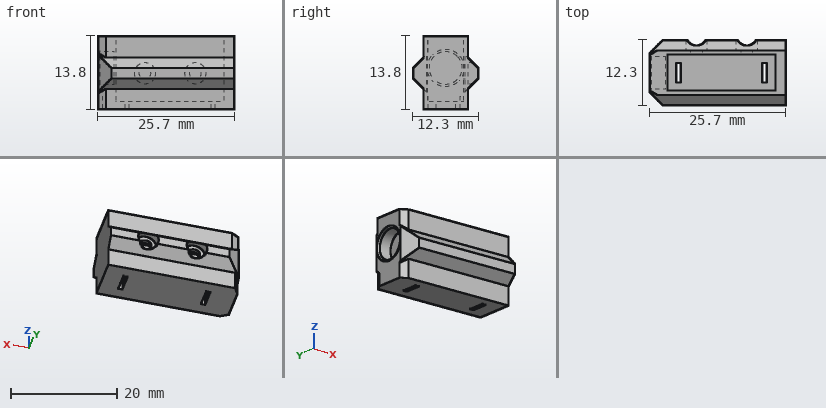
import cadquery as cq

LENGTH = 25.7
RAIL_SPAN = 12.3
HEIGHT = 13.8
BODY_WIDTH = 8.45
NOSE_X = 0.0
OVERRUN = 1.0

RAIL_Z = 6.8
RAIL_TIP_HEIGHT = 2.0
RAIL_NOSE_CHAMFER = 2.5
RAIL_ROOT_HALF_WIDTH = 2.5

CORNER_LONG = 1.5
CORNER_SHORT = 0.87

POCKET_LENGTH = 20.45
POCKET_WIDTH = 6.8
POCKET_START_X = 3.35
POCKET_FLOOR = 1.5
SLOT_THICKNESS = 0.8
SLOT_WIDTH = 3.65
SLOT_SPACING = 16.2
SLOT_COUNT = 2

RECESS_DIAMETER = 6.2
RECESS_DEPTH = 3.0
RECESS_Z = 7.8
RECESS_CHAMFER = 0.4

HOLE_XS = (8.85, 18.35)
HOLE_DIAMETER = 2.2
COUNTERBORE_DIAMETER = 4.0
COUNTERBORE_FLOOR_Y = BODY_WIDTH / 2

POCKET_CENTRE_X = POCKET_START_X + POCKET_LENGTH / 2


def make_body():
    """Upright block with chamfered nose corners; the lower +Y corner is cut deeper across Y."""
    body = cq.Workplane("XY").box(LENGTH, BODY_WIDTH, HEIGHT, centered=(False, True, False))
    cuts = (
        (-1, 0.0, HEIGHT, CORNER_LONG, CORNER_SHORT),
        (1, RAIL_Z, HEIGHT, CORNER_LONG, CORNER_SHORT),
        (1, 0.0, RAIL_Z, CORNER_SHORT, CORNER_LONG),
    )
    for side, bottom, top, along_x, along_y in cuts:
        corner_y = side * BODY_WIDTH / 2
        cutter = (
            cq.Workplane("XY", origin=(NOSE_X, corner_y, bottom))
            .polyline([(0, 0), (along_x, 0), (0, -side * along_y)])
            .close()
            .extrude(top - bottom)
        )
        body = body.cut(cutter)
    return body


def make_rails():
    """Bar with 45-degree bevels above and below each tip, and chamfered at the nose."""
    tip_y = RAIL_SPAN / 2
    tip_half = RAIL_TIP_HEIGHT / 2
    root_y = RAIL_ROOT_HALF_WIDTH
    root_half = tip_half + tip_y - root_y
    profile = [
        (tip_y, tip_half),
        (root_y, root_half),
        (-root_y, root_half),
        (-tip_y, tip_half),
        (-tip_y, -tip_half),
        (-root_y, -root_half),
        (root_y, -root_half),
        (tip_y, -tip_half),
    ]
    bar = cq.Workplane("YZ", origin=(NOSE_X, 0, RAIL_Z)).polyline(profile).close().extrude(LENGTH)
    nose_y = tip_y - RAIL_NOSE_CHAMFER
    plan = [
        (NOSE_X, nose_y),
        (RAIL_NOSE_CHAMFER, tip_y),
        (LENGTH, tip_y),
        (LENGTH, -tip_y),
        (RAIL_NOSE_CHAMFER, -tip_y),
        (NOSE_X, -nose_y),
    ]
    return bar.intersect(cq.Workplane("XY").polyline(plan).close().extrude(HEIGHT))


def make_pocket():
    """Pocket open at the top, with two slots through its floor."""
    pocket = (
        cq.Workplane("XY", origin=(POCKET_CENTRE_X, 0, POCKET_FLOOR))
        .rect(POCKET_LENGTH, POCKET_WIDTH)
        .extrude(HEIGHT - POCKET_FLOOR + OVERRUN)
    )
    slots = (
        cq.Workplane("XY", origin=(POCKET_CENTRE_X, 0, -OVERRUN))
        .rarray(SLOT_SPACING, SLOT_WIDTH, SLOT_COUNT, 1)
        .rect(SLOT_THICKNESS, SLOT_WIDTH)
        .extrude(POCKET_FLOOR + 2 * OVERRUN)
    )
    return pocket.union(slots)


def make_nose_recess():
    """Flat-bottomed round recess with a chamfered mouth."""
    radius = RECESS_DIAMETER / 2
    half_section = [
        (NOSE_X, 0),
        (NOSE_X, radius + RECESS_CHAMFER),
        (RECESS_CHAMFER, radius),
        (RECESS_DEPTH, radius),
        (RECESS_DEPTH, 0),
    ]
    return (
        cq.Workplane("XY", origin=(0, 0, RECESS_Z))
        .polyline(half_section)
        .close()
        .revolve(360, (0, 0, 0), (1, 0, 0))
    )


def make_side_hole(x):
    """Counterbored hole from inside the pocket out through the +Y rail."""
    outer_y = RAIL_SPAN / 2 + OVERRUN
    plane = cq.Workplane("XZ", origin=(x, outer_y, RAIL_Z))
    hole = plane.circle(HOLE_DIAMETER / 2).extrude(outer_y)
    counterbore = plane.circle(COUNTERBORE_DIAMETER / 2).extrude(outer_y - COUNTERBORE_FLOOR_Y)
    return hole.union(counterbore)


result = make_body().union(make_rails()).cut(make_pocket()).cut(make_nose_recess())
for hole_x in HOLE_XS:
    result = result.cut(make_side_hole(hole_x))